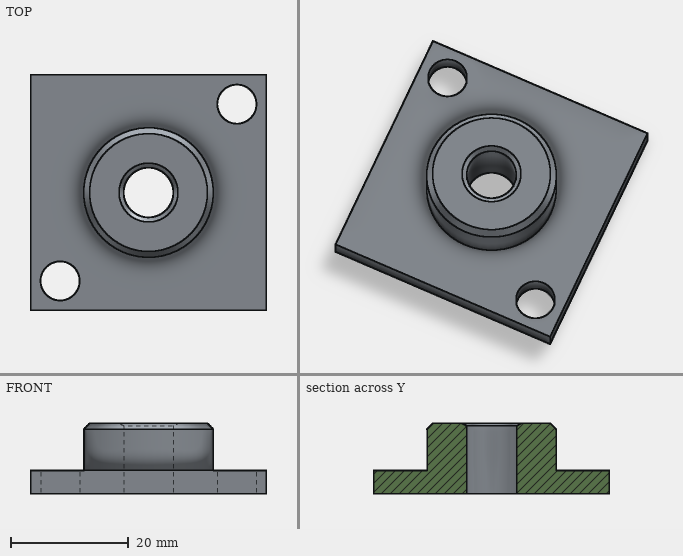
import cadquery as cq
import math

plate_side = 40.0
plate_thickness = 4.0

total_height = 12.0
boss_diameter = 22.0
boss_chamfer = 1.0

bore_diameter = 8.4
bore_mouth_diameter = 10.0
bore_mouth_angle = 120.0
bore_radius = bore_diameter / 2
bore_mouth_radius = bore_mouth_diameter / 2
bore_mouth_depth = (bore_mouth_radius - bore_radius) / math.tan(math.radians(bore_mouth_angle / 2))

mount_hole_diameter = 6.6
mount_hole_offset = 15.0
mount_hole_centers = [
    (-mount_hole_offset, -mount_hole_offset),
    (mount_hole_offset, mount_hole_offset),
]

plate = (
    cq.Workplane("XY")
    .rect(plate_side, plate_side)
    .extrude(plate_thickness)
    .pushPoints(mount_hole_centers)
    .circle(mount_hole_diameter / 2)
    .cutThruAll()
)

boss = (
    cq.Workplane("XY", origin=(0, 0, plate_thickness))
    .circle(boss_diameter / 2)
    .extrude(total_height - plate_thickness)
    .faces(">Z")
    .chamfer(boss_chamfer)
)

bore = (
    cq.Workplane("XZ")
    .lineTo(bore_radius, 0)
    .lineTo(bore_radius, total_height - bore_mouth_depth)
    .lineTo(bore_mouth_radius, total_height)
    .lineTo(0, total_height)
    .close()
    .revolve(360, (0, 0), (0, 1))
)

result = plate.union(boss).cut(bore)